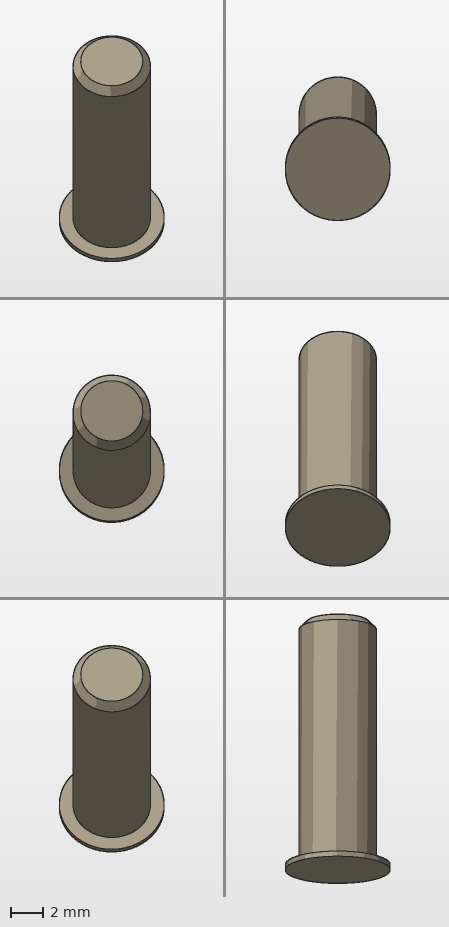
import cadquery as cq

overall_length = 15.88
shank_diameter = 4.8
flange_diameter = 6.5
flange_thickness = 0.33
tip_chamfer = 0.48


def make_flange():
    """Thin round flange, with its underside on Z = 0."""
    return cq.Workplane("XY").circle(flange_diameter / 2).extrude(flange_thickness)


def make_shank():
    """Round shank rising from Z = 0, with a chamfered free end."""
    shank = cq.Workplane("XY").circle(shank_diameter / 2).extrude(overall_length)
    return shank.faces(">Z").chamfer(tip_chamfer)


result = make_flange().union(make_shank())